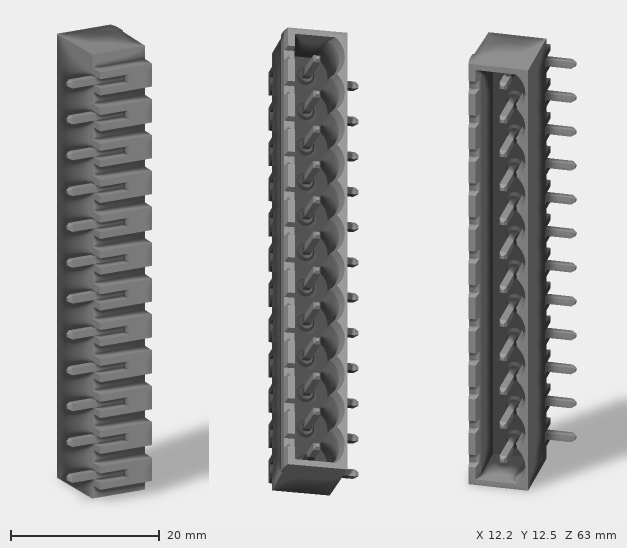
import cadquery as cq


LENGTH = 62.95
POLES = 12
FIRST_POLE_Z = 3.5
PITCH = (LENGTH - 2 * FIRST_POLE_Z) / (POLES - 1)
BODY_DEPTH = 10.0
TOTAL_DEPTH = 12.2
BOTTOM_Y = -8.5
POLE_HEIGHTS = [FIRST_POLE_Z + i * PITCH for i in range(POLES)]

LIP_DROP = 0.25
LIP_LENGTH = 1.15
RIDGE_END_X = 3.0
BACK_FRONT_Y = -0.25
BACK_REAR_Y = -0.55

PIN_AXIS_Y = -4.65
CAVITY_RADIUS = 3.1
FLARE = 0.4
FLARE_DEPTH = 1.65
CAVITY_DEPTH = 8.2
END_WALL = 0.8

NOTCH_DEPTH = 1.15
NOTCH_INNER_WIDTH = 1.3
NOTCH_OUTER_WIDTH = 1.8

TOOTH_WIDTH = 3.3
SLOT_WIDTH = 1.3
SLOT_START_X = 9.25
SLOT_END_X = 11.2

PIN_SIZE = 1.0
PIN_FRONT_X = 1.0
LEG_AXIS_X = 10.3
LEG_END_Y = -12.5
TIP_SIZE = 0.45
TIP_LENGTH = 0.55

COLLAR_BASE_DIAMETER = 2.5
COLLAR_TOP_DIAMETER = 1.9
COLLAR_HEIGHT = 0.5


def block(x_range, y_range, z_range):
    """Box given by its limits along each axis."""
    limits = (x_range, y_range, z_range)
    sizes = [high - low for low, high in limits]
    corner = cq.Vector(*[low for low, high in limits])
    return cq.Workplane(obj=cq.Solid.makeBox(*sizes, pnt=corner))


def centred(middle, size):
    return (middle - size / 2, middle + size / 2)


def make_housing():
    """Extruded outline with the rear strip cut away between the teeth."""
    outline = [
        (0, BOTTOM_Y),
        (TOTAL_DEPTH, BOTTOM_Y),
        (TOTAL_DEPTH, BACK_REAR_Y),
        (RIDGE_END_X, BACK_FRONT_Y),
        (RIDGE_END_X, 0),
        (LIP_LENGTH, 0),
        (0, -LIP_DROP),
    ]
    housing = cq.Workplane("XY").polyline(outline).close().extrude(LENGTH)
    gap_edges = [0]
    for z in POLE_HEIGHTS:
        gap_edges.extend(centred(z, TOOTH_WIDTH))
    gap_edges.append(LENGTH)
    for low, high in zip(gap_edges[::2], gap_edges[1::2]):
        housing = housing.cut(block((BODY_DEPTH, TOTAL_DEPTH), (BOTTOM_Y, 0), (low, high)))
    return housing


def make_cavity():
    """Flat-walled half toward +Y joined to a scalloped half around the pins."""
    wall_y = PIN_AXIS_Y + CAVITY_RADIUS
    half_section = [
        (0, PIN_AXIS_Y),
        (CAVITY_DEPTH, PIN_AXIS_Y),
        (CAVITY_DEPTH, wall_y),
        (FLARE_DEPTH, wall_y),
        (0, wall_y + FLARE),
    ]
    cavity = cq.Workplane("XY").polyline(half_section).close().extrude(LENGTH)
    for z in POLE_HEIGHTS:
        scallop = (
            cq.Workplane("XY", origin=(0, 0, z))
            .polyline(half_section).close()
            .revolve(360, (0, PIN_AXIS_Y, 0), (1, PIN_AXIS_Y, 0))
        )
        cavity = cavity.union(scallop)
    return cavity.intersect(block((0, CAVITY_DEPTH), (BOTTOM_Y, 0), (END_WALL, LENGTH - END_WALL)))


def make_notch(z):
    """Ridge notch that narrows away from the mouth."""
    section = [
        (0, z - NOTCH_OUTER_WIDTH / 2),
        (NOTCH_DEPTH, z - NOTCH_INNER_WIDTH / 2),
        (NOTCH_DEPTH, z + NOTCH_INNER_WIDTH / 2),
        (0, z + NOTCH_OUTER_WIDTH / 2),
    ]
    return cq.Workplane("XZ").polyline(section).close().extrude(-PIN_AXIS_Y)


def make_slot(z):
    """Slot through the housing in Y, open to the rear from the board side up to the pin's bend."""
    z_range = centred(z, SLOT_WIDTH)
    bend_y = PIN_AXIS_Y + PIN_SIZE / 2
    through = block((SLOT_START_X, SLOT_END_X), (BOTTOM_Y, 0), z_range)
    rear = block((SLOT_END_X, TOTAL_DEPTH), (BOTTOM_Y, bend_y), z_range)
    return through.union(rear)


def make_tip(plane):
    """Tapered pin end on the given plane."""
    return (
        cq.Workplane(plane).rect(PIN_SIZE, PIN_SIZE)
        .workplane(offset=TIP_LENGTH).rect(TIP_SIZE, TIP_SIZE)
        .loft(ruled=True)
    )


def make_pin(z):
    """Right-angle square pin with a tapered end on both arms."""
    half = PIN_SIZE / 2
    z_range = centred(z, PIN_SIZE)
    arm_start_x = PIN_FRONT_X + TIP_LENGTH
    leg_start_y = LEG_END_Y + TIP_LENGTH
    arm = block((arm_start_x, LEG_AXIS_X + half), centred(PIN_AXIS_Y, PIN_SIZE), z_range)
    leg = block(centred(LEG_AXIS_X, PIN_SIZE), (leg_start_y, PIN_AXIS_Y + half), z_range)
    arm_tip = make_tip(cq.Plane((arm_start_x, PIN_AXIS_Y, z), (0, 0, 1), (-1, 0, 0)))
    leg_tip = make_tip(cq.Plane((LEG_AXIS_X, leg_start_y, z), (0, 0, 1), (0, -1, 0)))
    return arm.union(leg).union(arm_tip).union(leg_tip)


def make_collar(z):
    """Cone frustum standing on the cavity floor."""
    cone = cq.Solid.makeCone(
        COLLAR_BASE_DIAMETER / 2,
        COLLAR_TOP_DIAMETER / 2,
        COLLAR_HEIGHT,
        pnt=cq.Vector(CAVITY_DEPTH, PIN_AXIS_Y, z),
        dir=cq.Vector(-1, 0, 0),
    )
    return cq.Workplane(obj=cone)


result = make_housing().cut(make_cavity())
for pole_z in POLE_HEIGHTS:
    result = result.cut(make_notch(pole_z)).cut(make_slot(pole_z))
    result = result.union(make_collar(pole_z)).union(make_pin(pole_z))